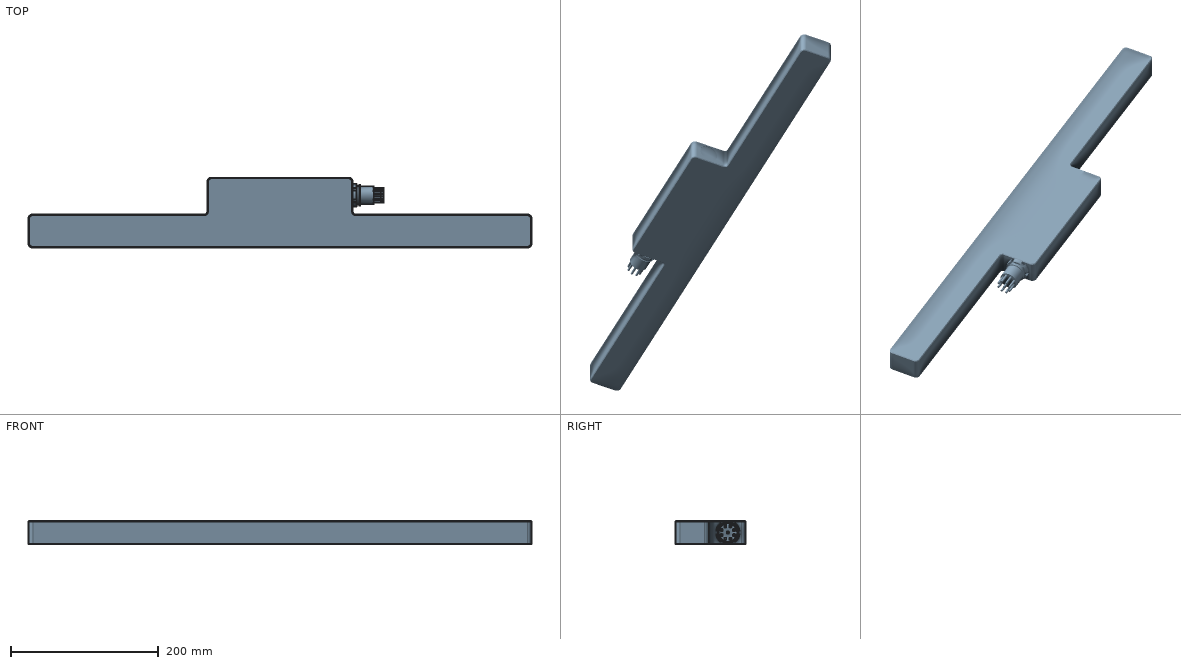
import cadquery as cq
import math

bar_length = 682.0
bar_width = 45.0
overall_width = 95.0
height = 32.0
block_length = 197.0
outer_corner_radius = 6.0
inner_corner_radius = 4.0
rim_chamfer = 1.0

recess_diameter = 25.0
recess_depth = 0.5

connector_from_back = 24.0
nut_diameter = 32.0
nut_length = 5.3
nut_chamfer = 0.8
nut_notch_count = 6
nut_notch_width = 5.0
collar_diameter = 25.5
collar_length = 9.0
flange_diameter = 28.0
flange_length = 1.0
body_diameter = 25.0
body_length = 18.4

ring_pin_count = 8
pin_ring_diameter = 18.2
pin_diameter = 3.24
pin_length = 9.5
pin_tip_diameter = 3.0
pin_tip_length = 4.5

front_y = -overall_width / 2
back_y = overall_width / 2
step_y = front_y + bar_width
bar_centre_y = front_y + bar_width / 2
block_end_x = block_length / 2
connector_y = back_y - connector_from_back

pick_margin = 1.0


def rod(start_x, length, diameter, dy=0.0, z=0.0):
    """Round bar along +X, placed relative to the connector axis."""
    return cq.Workplane("YZ", origin=(start_x, connector_y + dy, z)).circle(diameter / 2).extrude(length)


def housing():
    """Bar and block with rounded upright corners and chamfered top and bottom rims."""
    bar = cq.Workplane("XY").box(bar_length, bar_width, height).translate((0, bar_centre_y, 0))
    block = cq.Workplane("XY").box(block_length, overall_width, height)
    body = bar.union(block)
    inner_corners = cq.selectors.BoxSelector(
        (-block_end_x - pick_margin, step_y - pick_margin, -height),
        (block_end_x + pick_margin, step_y + pick_margin, height),
    )
    body = body.edges("|Z").edges(inner_corners).fillet(inner_corner_radius)
    body = body.edges("|Z").edges("<X or >X or >Y").fillet(outer_corner_radius)
    body = body.faces("<Z or >Z").chamfer(rim_chamfer)
    return body.cut(rod(-block_end_x, recess_depth, recess_diameter))


def notched_nut():
    """Round nut with evenly spaced spanner notches cut down to the collar."""
    nut = rod(block_end_x, nut_length, nut_diameter).faces(">X").edges().chamfer(nut_chamfer)
    notch_depth = (nut_diameter - collar_diameter) / 2
    notch_radius = collar_diameter / 2 + notch_depth / 2
    for index in range(nut_notch_count):
        angle = 360 / nut_notch_count * index
        notch = (
            cq.Workplane("XY")
            .box(nut_length, notch_depth, nut_notch_width)
            .translate((block_end_x + nut_length / 2, notch_radius, 0))
            .rotate((0, 0, 0), (1, 0, 0), angle)
            .translate((0, connector_y, 0))
        )
        nut = nut.cut(notch)
    return nut


def pin(start_x, dy, z):
    """Stepped contact pin."""
    shank = rod(start_x, pin_length, pin_diameter, dy, z)
    tip = rod(start_x + pin_length, pin_tip_length, pin_tip_diameter, dy, z)
    return shank.union(tip)


def connector():
    """Nut, collar, flange, body and pins stacked along the connector axis."""
    flange_x = block_end_x + collar_length
    body_x = flange_x + flange_length
    pins_x = body_x + body_length
    shape = notched_nut()
    shape = shape.union(rod(block_end_x, collar_length, collar_diameter))
    shape = shape.union(rod(flange_x, flange_length, flange_diameter))
    shape = shape.union(rod(body_x, body_length, body_diameter))
    shape = shape.union(pin(pins_x, 0, 0))
    for index in range(ring_pin_count):
        angle = 2 * math.pi * (index + 0.5) / ring_pin_count
        radius = pin_ring_diameter / 2
        shape = shape.union(pin(pins_x, radius * math.cos(angle), radius * math.sin(angle)))
    return shape


result = housing().union(connector())